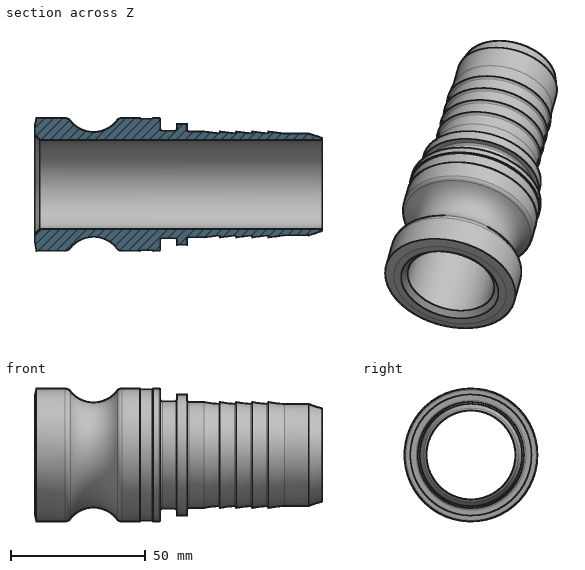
import cadquery as cq
import math

LENGTH = 107.0
BODY_RADIUS = 49.5 / 2
BORE_RADIUS = 33.0 / 2
COUNTERSINK_RADIUS = 18.5
COUNTERSINK_DEPTH = 2.0

FACE_RADIUS = 21.4
FACE_BEVEL_LENGTH = 0.6

GROOVE_CENTER = 21.9
GROOVE_FLOOR_RADIUS = 19.6
GROOVE_ARC = 11.0
FRONT_ROUND = 2.6
REAR_ROUND = 2.0

BAND_START = 39.1
BAND_END = 44.1
BAND_RADIUS = 49.0 / 2
BAND_SLOPE_LENGTH = 0.3
BODY_END = 46.8
BODY_EDGE_ROUND = 0.5

NECK_RADIUS = 40.0 / 2
COLLAR_START = 52.9
COLLAR_END = 56.7
COLLAR_RADIUS = 45.0 / 2
ROOT_FILLET = 0.6

BARB_RADIUS = 39.5 / 2
BARB_START = 62.9
BARB_PITCH = 6.0
TAPER_COUNT = 5
TAIL_RADIUS = 38.0 / 2
TIP_START = 101.9
TIP_RADIUS = 17.3
TIP_ROUND = 0.6


def corner_round(profile, start, corner, end, radius):
    """Line from start to a rounded corner, with an arc tangent to both legs; returns profile and arc end."""
    corner = cq.Vector(*corner)
    back = (cq.Vector(*start) - corner).normalized()
    ahead = (cq.Vector(*end) - corner).normalized()
    half_angle = back.getAngle(ahead) / 2
    setback = radius / math.tan(half_angle)
    middle = (back + ahead).normalized() * (radius / math.sin(half_angle) - radius)
    arc_end = corner + ahead * setback
    profile = profile.lineTo(*(corner + back * setback).toTuple()[:2])
    profile = profile.threePointArc((corner + middle).toTuple()[:2], arc_end.toTuple()[:2])
    return profile, arc_end.toTuple()[:2]


def groove_side(edge_round):
    """Distances from the groove centre to the body edge and blend point, and the blend radius."""
    depth = BODY_RADIUS - GROOVE_FLOOR_RADIUS
    center_distance = GROOVE_ARC + edge_round
    edge = math.sqrt(depth * (2 * center_distance - depth))
    share = GROOVE_ARC / center_distance
    arc_center_radius = GROOVE_FLOOR_RADIUS + GROOVE_ARC
    blend_radius = arc_center_radius - share * (center_distance - depth)
    return edge, share * edge, blend_radius


def add_cam_groove(profile):
    front_edge, front_blend, front_radius = groove_side(FRONT_ROUND)
    rear_edge, rear_blend, rear_radius = groove_side(REAR_ROUND)
    profile = profile.lineTo(GROOVE_CENTER - front_edge, BODY_RADIUS)
    profile = profile.tangentArcPoint((GROOVE_CENTER - front_blend, front_radius), relative=False)
    profile = profile.threePointArc(
        (GROOVE_CENTER, GROOVE_FLOOR_RADIUS),
        (GROOVE_CENTER + rear_blend, rear_radius),
    )
    profile = profile.tangentArcPoint((GROOVE_CENTER + rear_edge, BODY_RADIUS), relative=False)
    return profile


def add_band(profile):
    profile = profile.lineTo(BAND_START, BODY_RADIUS)
    profile = profile.lineTo(BAND_START + BAND_SLOPE_LENGTH, BAND_RADIUS)
    profile = profile.lineTo(BAND_END - BAND_SLOPE_LENGTH, BAND_RADIUS)
    profile = profile.lineTo(BAND_END, BODY_RADIUS)
    return profile


def add_neck_and_collar(profile):
    body_corner = (BODY_END, BODY_RADIUS)
    neck_start = (BODY_END, NECK_RADIUS)
    neck_end = (COLLAR_START, NECK_RADIUS)
    collar_front = (COLLAR_START, COLLAR_RADIUS)
    collar_rear = (COLLAR_END, COLLAR_RADIUS)
    shank_start = (COLLAR_END, BARB_RADIUS)

    band_edge = (BAND_END, BODY_RADIUS)
    profile, position = corner_round(profile, band_edge, body_corner, neck_start, BODY_EDGE_ROUND)
    profile, position = corner_round(profile, position, neck_start, neck_end, ROOT_FILLET)
    profile, _ = corner_round(profile, position, neck_end, collar_front, ROOT_FILLET)
    profile = profile.lineTo(*collar_front)
    profile = profile.lineTo(*collar_rear)
    profile, _ = corner_round(profile, collar_rear, shank_start, (BARB_START, BARB_RADIUS), ROOT_FILLET)
    return profile


def add_barbs(profile):
    crest = (BARB_START, BARB_RADIUS)
    profile = profile.lineTo(*crest)
    for barb in range(1, TAPER_COUNT):
        wall = BARB_START + barb * BARB_PITCH
        next_crest = (wall, BARB_RADIUS)
        profile, _ = corner_round(profile, crest, (wall, TAIL_RADIUS), next_crest, ROOT_FILLET)
        profile = profile.lineTo(*next_crest)
        crest = next_crest
    profile = profile.lineTo(BARB_START + TAPER_COUNT * BARB_PITCH, TAIL_RADIUS)
    return profile


def add_tip(profile):
    tip_start = (TIP_START, TAIL_RADIUS)
    profile = profile.lineTo(*tip_start)
    profile, _ = corner_round(profile, tip_start, (LENGTH, TIP_RADIUS), (LENGTH, BORE_RADIUS), TIP_ROUND)
    profile = profile.lineTo(LENGTH, BORE_RADIUS)
    return profile


section = cq.Workplane("XY").moveTo(COUNTERSINK_DEPTH, BORE_RADIUS)
section = section.lineTo(0, COUNTERSINK_RADIUS)
section = section.lineTo(0, FACE_RADIUS)
section = section.lineTo(FACE_BEVEL_LENGTH, BODY_RADIUS)
section = add_cam_groove(section)
section = add_band(section)
section = add_neck_and_collar(section)
section = add_barbs(section)
section = add_tip(section)

result = section.close().revolve(360, (0, 0, 0), (1, 0, 0))